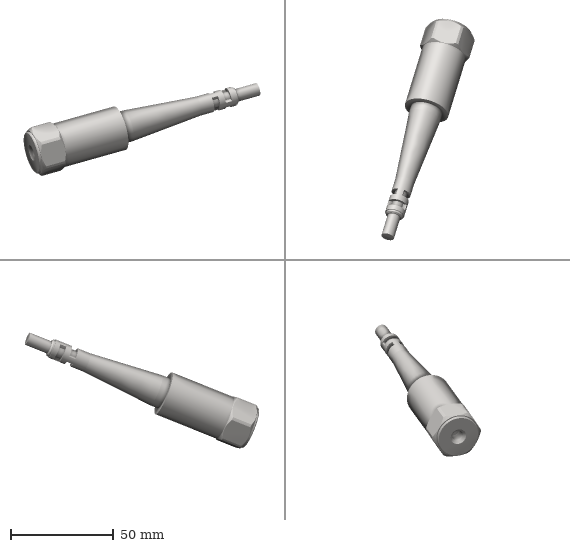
import cadquery as cq
import math

total_length = 119.8
hex_start = 1.2
hex_end = 14.0
body_end = 46.7
shoulder_end = 50.8
taper_end = 88.0
sleeve_end = 106.7
collar_end = 108.1

face_diameter = 21.0
body_diameter = 22.0
shoulder_diameter = 15.8
sleeve_diameter = 9.6
collar_diameter = 8.6
collar_chamfer = 0.6
cable_diameter = 6.3
face_chamfer = 0.4

hex_across_flats = 22.3
hex_corner_diameter = 24.9
hex_chamfer_diameter = 22.0
hex_chamfer_length = (hex_corner_diameter - hex_chamfer_diameter) / 2

slot_width = 3.2
slot_bridge = 3.1
side_slot_start = 94.7
upper_slot_start = 101.0

hole_diameter = 5.4
hole_depth = 7.2
countersink_diameter = 7.9
countersink_angle = 90
drill_point_angle = 118


def revolve_profile(points):
    """Turn (radius, station) points about the Y axis."""
    return cq.Workplane("XY").polyline(points).close().revolve(360, (0, 0), (0, 1))


def cone_length(large_diameter, small_diameter, angle):
    return (large_diameter - small_diameter) / 2 / math.tan(math.radians(angle / 2))


def along_y(start):
    """Sketch plane at a station, facing -Y; negative extrusions run toward +Y."""
    return cq.Workplane("XZ", origin=(0, start, 0))


def make_turned_body():
    return revolve_profile([
        (0, 0),
        (face_diameter / 2 - face_chamfer, 0),
        (face_diameter / 2, face_chamfer),
        (face_diameter / 2, hex_start),
        (body_diameter / 2, hex_start),
        (body_diameter / 2, body_end),
        (shoulder_diameter / 2, body_end),
        (shoulder_diameter / 2, shoulder_end),
        (sleeve_diameter / 2, taper_end),
        (sleeve_diameter / 2, sleeve_end),
        (collar_diameter / 2, sleeve_end),
        (collar_diameter / 2, collar_end - collar_chamfer),
        (collar_diameter / 2 - collar_chamfer, collar_end),
        (cable_diameter / 2, collar_end),
        (cable_diameter / 2, total_length),
        (0, total_length),
    ])


def make_hex_grip():
    corner_to_corner = hex_across_flats / math.cos(math.radians(30))
    prism = along_y(hex_start).polygon(6, corner_to_corner).extrude(hex_start - hex_end)
    envelope = revolve_profile([
        (0, hex_start),
        (hex_chamfer_diameter / 2, hex_start),
        (hex_corner_diameter / 2, hex_start + hex_chamfer_length),
        (hex_corner_diameter / 2, hex_end - hex_chamfer_length),
        (hex_chamfer_diameter / 2, hex_end),
        (0, hex_end),
    ])
    return prism.intersect(envelope)


def make_slot_pair(start, turn):
    """Opposed slots down to the cable, separated by two bridges."""
    ring = (
        along_y(start)
        .circle(sleeve_diameter)
        .circle(cable_diameter / 2)
        .extrude(-slot_width)
    )
    bridges = along_y(start).rect(slot_bridge, 2 * sleeve_diameter).extrude(-slot_width)
    return ring.cut(bridges).rotate((0, 0, 0), (0, 1, 0), turn)


def make_hole():
    countersink_depth = cone_length(countersink_diameter, hole_diameter, countersink_angle)
    point_depth = cone_length(hole_diameter, 0, drill_point_angle)
    return revolve_profile([
        (0, 0),
        (countersink_diameter / 2, 0),
        (hole_diameter / 2, countersink_depth),
        (hole_diameter / 2, hole_depth),
        (0, hole_depth + point_depth),
    ])


result = make_turned_body().union(make_hex_grip()).cut(make_hole())
for slot_start, slot_turn in [(side_slot_start, 0), (upper_slot_start, 90)]:
    result = result.cut(make_slot_pair(slot_start, slot_turn))